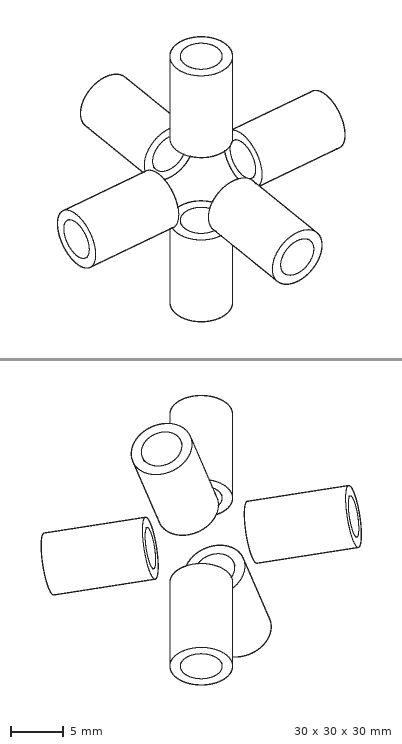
import cadquery as cq

overall_span = 30.0
tube_length = 10.0
outer_diameter = 6.0
bore_diameter = 4.0

inner_end_distance = overall_span / 2 - tube_length

outward_directions = [
    (1, 0, 0),
    (-1, 0, 0),
    (0, 1, 0),
    (0, -1, 0),
    (0, 0, 1),
    (0, 0, -1),
]


def make_tube(direction):
    """Open tube that runs outward along the given direction from its inner end."""
    axis = cq.Vector(*direction)
    inner_end_plane = cq.Plane(origin=axis * inner_end_distance, normal=axis)
    return (
        cq.Workplane(inner_end_plane)
        .circle(outer_diameter / 2)
        .circle(bore_diameter / 2)
        .extrude(tube_length)
    )


tubes = [make_tube(direction) for direction in outward_directions]

result = cq.Compound.makeCompound([tube.val() for tube in tubes])